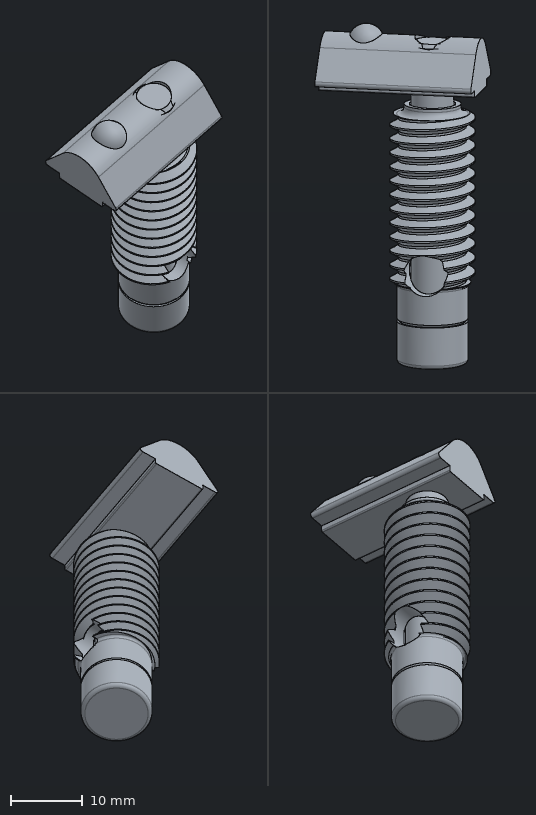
import cadquery as cq
import math


FOOT_DIAMETER = 10.0
FOOT_HEIGHT = 6.0
FOOT_ROUNDING = 0.6
STEM_DIAMETER = 6.0
STEM_TOP = 46.0
STEM_END_DIAMETER = 4.9
STEM_END_CHAMFER = (STEM_DIAMETER - STEM_END_DIAMETER) / 2

BORE_DIAMETER = 6.5
SLEEVE_TOP = 37.0
COLLAR_DIAMETER = 8.0
COLLAR_FLARE_RADIUS = 1.0
SLEEVE_BOTTOM_CHAMFER = 0.4
SKIRT_FLARE_RADIUS = 0.4
THREAD_BOTTOM = 11.45
THREAD_TOP = 35.55
THREAD_DIAMETER = 12.0
THREAD_PITCH = 12 / 6
CREST_WIDTH = 0.25
FLANK_HALF_ANGLE = math.radians(30)
CREST_HEIGHT_AT_X = 34.4
RIDGE_ROOT_OVERLAP = 0.1
ROOT_DIAMETER = 9.5
CROSS_HOLE_DIAMETER = 6.0
CROSS_HOLE_HEIGHT = 13.5

BAR_LENGTH = 22.3
BAR_WIDTH = 13.2
BAR_BACK_Y = 6.9
BAR_BOTTOM = 39.0
SHOULDER_HEIGHT = 40.0
BAR_TOP = 46.6
TONGUE_WIDTH = 8.0
TONGUE_ROUNDING = 0.2
CROWN_RADIUS = 4.15
WING_RADIUS = 0.5
NUB_DIAMETER = 5.1
NUB_Y = -9.45
OVERALL_HEIGHT = 48.0


def make_stud():
    foot = (
        cq.Workplane("XY")
        .circle(FOOT_DIAMETER / 2)
        .extrude(FOOT_HEIGHT)
        .faces("<Z")
        .edges()
        .fillet(FOOT_ROUNDING)
    )
    stem = (
        cq.Workplane("XY")
        .workplane(offset=FOOT_HEIGHT)
        .circle(STEM_DIAMETER / 2)
        .extrude(STEM_TOP - FOOT_HEIGHT)
        .faces(">Z")
        .edges()
        .chamfer(STEM_END_CHAMFER)
    )
    return foot.union(stem)


def make_sleeve_skirt():
    """Plain lower end of the sleeve, flaring out to the thread in a concave quarter round."""
    bore = BORE_DIAMETER / 2
    plain = FOOT_DIAMETER / 2
    flare_end = plain + SKIRT_FLARE_RADIUS
    flare_mid = flare_end - SKIRT_FLARE_RADIUS * math.sqrt(0.5)
    flare_drop = SKIRT_FLARE_RADIUS * (1 - math.sqrt(0.5))
    return (
        cq.Workplane("XZ")
        .moveTo(bore, FOOT_HEIGHT)
        .lineTo(plain - SLEEVE_BOTTOM_CHAMFER, FOOT_HEIGHT)
        .lineTo(plain, FOOT_HEIGHT + SLEEVE_BOTTOM_CHAMFER)
        .lineTo(plain, THREAD_BOTTOM - SKIRT_FLARE_RADIUS)
        .threePointArc((flare_mid, THREAD_BOTTOM - flare_drop), (flare_end, THREAD_BOTTOM))
        .lineTo(bore, THREAD_BOTTOM)
        .close()
        .revolve(360, (0, 0, 0), (0, 1, 0))
    )


def make_sleeve_collar():
    """Collar above the thread, flaring out to it in a concave quarter round."""
    bore = BORE_DIAMETER / 2
    collar = COLLAR_DIAMETER / 2
    flare_end = collar + COLLAR_FLARE_RADIUS
    flare_mid = flare_end - COLLAR_FLARE_RADIUS * math.sqrt(0.5)
    flare_rise = COLLAR_FLARE_RADIUS * (1 - math.sqrt(0.5))
    return (
        cq.Workplane("XZ")
        .moveTo(bore, THREAD_TOP)
        .lineTo(flare_end, THREAD_TOP)
        .threePointArc((flare_mid, THREAD_TOP + flare_rise), (collar, THREAD_TOP + COLLAR_FLARE_RADIUS))
        .lineTo(collar, SLEEVE_TOP)
        .lineTo(bore, SLEEVE_TOP)
        .close()
        .revolve(360, (0, 0, 0), (0, 1, 0))
    )


def make_threaded_barrel():
    """Barrel with a right-handed helical ridge, cut square at both ends of the thread."""
    crest = THREAD_DIAMETER / 2
    foot = ROOT_DIAMETER / 2 - RIDGE_ROOT_OVERLAP
    crest_half = CREST_WIDTH / 2
    foot_half = crest_half + (crest - foot) * math.tan(FLANK_HALF_ANGLE)

    turns_below = math.ceil((CREST_HEIGHT_AT_X - THREAD_BOTTOM) / THREAD_PITCH) + 1
    turns_above = math.ceil((THREAD_TOP - CREST_HEIGHT_AT_X) / THREAD_PITCH) + 1
    helix_start = CREST_HEIGHT_AT_X - turns_below * THREAD_PITCH
    helix_length = (turns_below + turns_above) * THREAD_PITCH
    helix = cq.Wire.makeHelix(THREAD_PITCH, helix_length, crest)
    ridge = (
        cq.Workplane("XZ")
        .polyline([(foot, -foot_half), (crest, -crest_half), (crest, crest_half), (foot, foot_half)])
        .close()
        .sweep(cq.Workplane(helix), isFrenet=True)
        .translate((0, 0, helix_start))
    )
    core = (
        cq.Workplane("XY")
        .workplane(offset=helix_start - THREAD_PITCH)
        .circle(ROOT_DIAMETER / 2)
        .circle(BORE_DIAMETER / 2)
        .extrude(helix_length + 2 * THREAD_PITCH)
    )
    thread_zone = (
        cq.Workplane("XY")
        .workplane(offset=THREAD_BOTTOM)
        .circle(THREAD_DIAMETER)
        .extrude(THREAD_TOP - THREAD_BOTTOM)
    )
    return core.union(ridge).intersect(thread_zone)


def make_sleeve():
    cross_hole = (
        cq.Workplane("YZ")
        .center(0, CROSS_HOLE_HEIGHT)
        .circle(CROSS_HOLE_DIAMETER / 2)
        .extrude(THREAD_DIAMETER, both=True)
    )
    return make_threaded_barrel().union(make_sleeve_skirt()).union(make_sleeve_collar()).cut(cross_hole)


def make_bar_blank():
    """Bar with a round crown and sloping sides tangent to the crown and to the wing tips."""
    wing_x = BAR_WIDTH / 2 - WING_RADIUS
    wing_z = SHOULDER_HEIGHT + WING_RADIUS
    crown_z = BAR_TOP - CROWN_RADIUS

    centre_distance = math.hypot(wing_x, wing_z - crown_z)
    centre_line_angle = math.atan2(wing_z - crown_z, wing_x)
    side_angle = centre_line_angle + math.acos((CROWN_RADIUS - WING_RADIUS) / centre_distance)
    across = math.cos(side_angle)
    upward = math.sin(side_angle)
    crown_end = (CROWN_RADIUS * across, crown_z + CROWN_RADIUS * upward)
    wing_end = (wing_x + WING_RADIUS * across, wing_z + WING_RADIUS * upward)
    wing_mid = (wing_x + WING_RADIUS, wing_z)
    tongue = TONGUE_WIDTH / 2

    def mirrored(point):
        return (-point[0], point[1])

    return (
        cq.Workplane("XZ", origin=(0, BAR_BACK_Y, 0))
        .moveTo(-tongue, BAR_BOTTOM)
        .lineTo(tongue, BAR_BOTTOM)
        .lineTo(tongue, SHOULDER_HEIGHT)
        .lineTo(wing_x, SHOULDER_HEIGHT)
        .threePointArc(wing_mid, wing_end)
        .lineTo(*crown_end)
        .threePointArc((0, BAR_TOP), mirrored(crown_end))
        .lineTo(*mirrored(wing_end))
        .threePointArc(mirrored(wing_mid), (-wing_x, SHOULDER_HEIGHT))
        .lineTo(-tongue, SHOULDER_HEIGHT)
        .close()
        .extrude(BAR_LENGTH)
        .faces("<Z")
        .edges("|Y")
        .fillet(TONGUE_ROUNDING)
    )


def make_bar(stud):
    nub_radius = NUB_DIAMETER / 2
    nub = cq.Workplane("XY").sphere(nub_radius).translate((0, NUB_Y, OVERALL_HEIGHT - nub_radius))
    end_opening = (
        cq.Workplane("XY")
        .workplane(offset=STEM_TOP)
        .circle(STEM_END_DIAMETER / 2)
        .extrude(OVERALL_HEIGHT - STEM_TOP)
    )
    return make_bar_blank().union(nub).cut(stud).cut(end_opening)


stud = make_stud()
sleeve = make_sleeve()
bar = make_bar(stud)

result = cq.Compound.makeCompound([stud.val(), sleeve.val(), bar.val()])